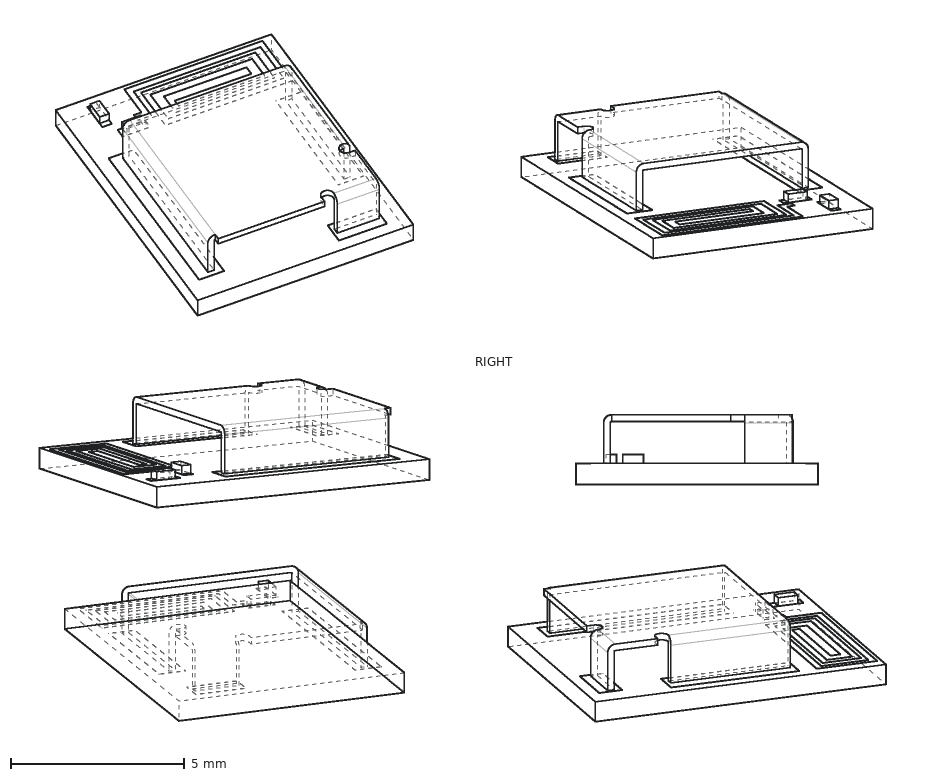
import cadquery as cq
import math


board_length = 9.0
board_width = 7.0
board_thickness = 0.61
copper_thickness = 0.01
copper_top = board_thickness + copper_thickness

overall_height = 2.02
sheet = 0.2
inner_bend = 0.04
outer_bend = sheet + inner_bend
shield_left = 2.68
shield_right = 8.325
shield_front = 0.8
shield_back = 6.28
front_wall_end = shield_right - outer_bend
back_wall_end = 6.38
right_wall_start = 4.88
relief_width = 0.4
roof_setback = inner_bend

front_wall_pad = (2.51, 0.43, 8.25, 1.24)
back_wall_pad = (2.55, 5.83, 6.52, 6.64)
right_wall_pad = (7.91, 4.78, 8.62, 6.34)

chip_length = 0.61
chip_width = 0.31
chip_height = 0.25
chip_x_center = (0.78, 1.03)
chip_y_center = (1.72, 1.66)
chip_x_pad_length = 0.95
chip_y_pad_length = 0.89

antenna_outline = [
    (1.22, 1.92),
    (1.22, 2.16),
    (0.135, 2.16),
    (0.135, 6.64),
    (2.01, 6.64),
    (2.01, 2.53),
    (0.48, 2.53),
    (0.48, 6.24),
    (1.665, 6.24),
    (1.665, 3.04),
    (0.92, 3.04),
    (0.92, 5.72),
    (1.22, 5.72),
    (1.22, 3.24),
    (1.46, 3.24),
    (1.46, 6.03),
    (0.675, 6.03),
    (0.675, 2.73),
    (1.8, 2.73),
    (1.8, 6.47),
    (0.34, 6.47),
    (0.34, 2.36),
    (1.46, 2.36),
    (1.46, 1.92),
]


def block(x_min, y_min, z_min, x_max, y_max, z_max):
    """Box between two opposite corners."""
    size = (x_max - x_min, y_max - y_min, z_max - z_min)
    return cq.Workplane("XY").box(*size, centered=False).translate((x_min, y_min, z_min))


def copper_pad(left, front, right, back):
    """Rectangular copper area on top of the board."""
    return block(left, front, board_thickness, right, back, copper_top)


def centered_pad(center, length, width):
    """Copper area given by its center and its sizes along X and Y."""
    x, y = center
    return copper_pad(x - length / 2, y - width / 2, x + length / 2, y + width / 2)


def make_board():
    """Board with its antenna trace and solder pads."""
    antenna = (
        cq.Workplane("XY", origin=(0, 0, board_thickness))
        .polyline(antenna_outline)
        .close()
        .extrude(copper_thickness)
    )
    board = block(0, 0, 0, board_length, board_width, board_thickness).union(antenna)
    for pad in (front_wall_pad, back_wall_pad, right_wall_pad):
        board = board.union(copper_pad(*pad))
    board = board.union(centered_pad(chip_x_center, chip_x_pad_length, chip_width))
    return board.union(centered_pad(chip_y_center, chip_width, chip_y_pad_length))


def make_chip(center, length_x, length_y):
    """Plain rectangular chip standing on its pad."""
    x, y = center
    return (
        cq.Workplane("XY", origin=(x, y, copper_top))
        .rect(length_x, length_y)
        .extrude(chip_height)
    )


def wall_profile(plane, origin, inward):
    """Cross-section of a wall and its bend, up to the flat roof.

    The outer face stands at the origin; inward is the sign of the direction toward the shield's inside.
    """
    roof_under = overall_height - sheet
    bend_z = overall_height - outer_bend
    diagonal = math.sqrt(0.5)
    mid_outer = (inward * outer_bend * (1 - diagonal), bend_z + outer_bend * diagonal)
    mid_inner = (
        inward * (outer_bend - inner_bend * diagonal),
        bend_z + inner_bend * diagonal,
    )
    return (
        cq.Workplane(plane, origin=origin)
        .moveTo(0, copper_top)
        .lineTo(0, bend_z)
        .threePointArc(mid_outer, (inward * outer_bend, overall_height))
        .lineTo(inward * outer_bend, roof_under)
        .threePointArc(mid_inner, (inward * sheet, bend_z))
        .lineTo(inward * sheet, copper_top)
        .close()
    )


def make_shield():
    """Roof with relief notches, and the front, back and right walls bent down from it."""
    bend_front = shield_front + outer_bend
    bend_back = shield_back - outer_bend
    bend_right = shield_right - outer_bend
    roof_right = shield_right - roof_setback
    roof_back = shield_back - roof_setback
    roof_under = overall_height - sheet
    relief_radius = relief_width / 2
    roof_tab_left = back_wall_end + relief_width
    relief_front = right_wall_start - relief_width

    roof = (
        cq.Workplane("XY", origin=(0, 0, roof_under))
        .moveTo(shield_left, bend_front)
        .lineTo(roof_right, bend_front)
        .lineTo(roof_right, relief_front)
        .lineTo(bend_right, relief_front)
        .threePointArc(
            (bend_right - relief_radius, relief_front + relief_radius),
            (bend_right, right_wall_start),
        )
        .lineTo(bend_right, roof_back)
        .lineTo(roof_tab_left, roof_back)
        .lineTo(roof_tab_left, bend_back)
        .threePointArc(
            (roof_tab_left - relief_radius, bend_back - relief_radius),
            (back_wall_end, bend_back),
        )
        .lineTo(shield_left, bend_back)
        .close()
        .extrude(sheet)
    )
    front_wall = wall_profile("YZ", (shield_left, shield_front, 0), 1).extrude(
        front_wall_end - shield_left
    )
    back_wall = wall_profile("YZ", (shield_left, shield_back, 0), -1).extrude(
        back_wall_end - shield_left
    )
    right_wall = wall_profile("XZ", (shield_right, roof_back, 0), -1).extrude(
        roof_back - right_wall_start
    )
    return roof.union(front_wall).union(back_wall).union(right_wall)


board = make_board()
shield = make_shield()
chip_x = make_chip(chip_x_center, chip_length, chip_width)
chip_y = make_chip(chip_y_center, chip_width, chip_length)

result = cq.Compound.makeCompound([board.val(), shield.val(), chip_x.val(), chip_y.val()])